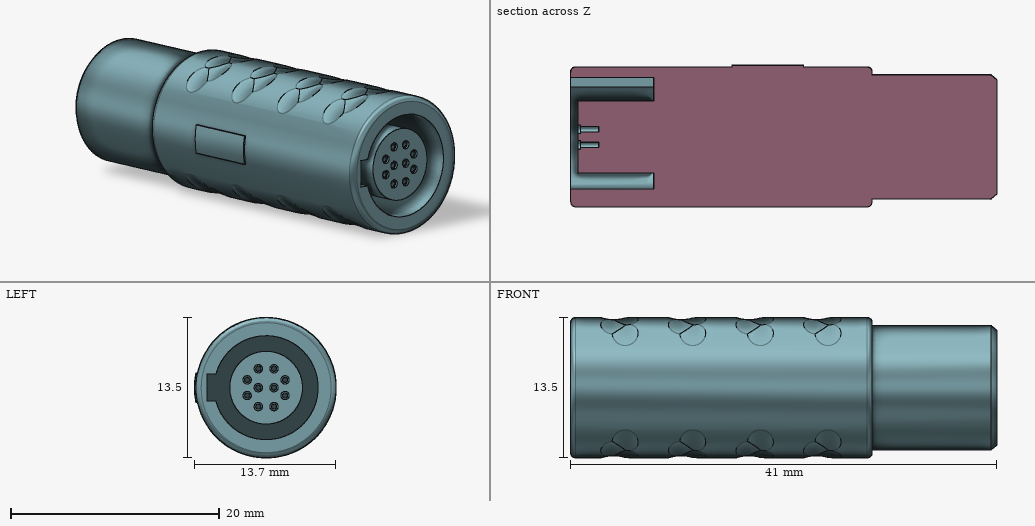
import cadquery as cq
import math


total_length = 41.0
grip_length = 29.0
grip_radius = 6.75
grip_edge_fillet = 0.5
rear_radius = 6.0
rear_chamfer_length = 0.6
rear_chamfer_height = 0.5

socket_radius = 5.0
socket_depth = 8.0
keyway_width = 2.6
keyway_reach = 5.7

insert_radius = 3.5
insert_setback = 0.7

outer_contact_count = 8
contact_circle_radius = 1.97
inner_contact_offset = contact_circle_radius * math.sin(math.pi / outer_contact_count)
contact_mouth_diameter = 0.8
contact_mouth_depth = 0.25
contact_bore_diameter = 0.5
contact_bore_depth = 2.0

dimple_depth = 0.205
dimple_half_width = 1.25
dimple_tool_radius = (dimple_half_width**2 + dimple_depth**2) / (2 * dimple_depth)
dimple_tool_length = 5.0
dimple_pitch_angle = 26.0
dimple_row_count = 4
dimple_row_pitch = 6.5
front_column_x = 4.15
column_spacing = 1.1
front_column_steps = (-1, 0, 1)
rear_column_steps = (-1.5, -0.5, 0.5, 1.5)

pad_start_x = 15.5
pad_length = 6.9
pad_width = 2.8
pad_height = 0.15


def rod(radius, start_x, length):
    """Solid cylinder on the X axis."""
    return cq.Workplane("YZ", origin=(start_x, 0, 0)).circle(radius).extrude(length)


def make_shell():
    """Grip with rounded ends and a chamfered, narrower rear sleeve."""
    grip = rod(grip_radius, 0, grip_length).edges().fillet(grip_edge_fillet)
    sleeve_start = grip_length / 2
    rear_profile = [
        (sleeve_start, 0),
        (sleeve_start, rear_radius),
        (total_length - rear_chamfer_length, rear_radius),
        (total_length, rear_radius - rear_chamfer_height),
        (total_length, 0),
    ]
    rear = cq.Workplane("XY").polyline(rear_profile).close().revolve(360, (0, 0, 0), (1, 0, 0))
    return grip.union(rear)


def make_pad():
    """Raised pad following the round of the grip."""
    block = cq.Workplane("XY").box(
        pad_length, grip_radius + pad_height, pad_width, centered=(False, False, True)
    ).translate((pad_start_x, 0, 0))
    return rod(grip_radius + pad_height, pad_start_x, pad_length).intersect(block)


def make_socket():
    """Socket bore with a keyway on its +Y side."""
    keyway = cq.Workplane("XY").box(
        socket_depth, keyway_reach, keyway_width, centered=(False, False, True)
    )
    return rod(socket_radius, 0, socket_depth).union(keyway)


def contact_positions():
    """(Y, Z) places of the contact ring and the inner pair."""
    step = 2 * math.pi / outer_contact_count
    angles = [(index + 0.5) * step for index in range(outer_contact_count)]
    ring = [
        (contact_circle_radius * math.cos(angle), contact_circle_radius * math.sin(angle))
        for angle in angles
    ]
    return ring + [(-inner_contact_offset, 0), (inner_contact_offset, 0)]


def make_insert():
    """Insulator insert with stepped contact holes in its face."""
    body = rod(insert_radius, insert_setback, socket_depth - insert_setback)
    face = cq.Workplane("YZ", origin=(insert_setback, 0, 0)).pushPoints(contact_positions())
    mouths = face.circle(contact_mouth_diameter / 2).extrude(contact_mouth_depth)
    bores = face.circle(contact_bore_diameter / 2).extrude(contact_bore_depth)
    return body.cut(mouths).cut(bores)


def dimple_tool(x, angle):
    """Tangential cylinder over the shell, turned about X by an angle from +Z."""
    axis_height = grip_radius - dimple_depth + dimple_tool_radius
    tool = (
        cq.Workplane("XZ", origin=(x, 0, axis_height))
        .circle(dimple_tool_radius)
        .extrude(dimple_tool_length / 2, both=True)
    )
    return tool.rotate((0, 0, 0), (1, 0, 0), angle)


def make_dimple_tools():
    """Tools for the rows of staggered dimples over the top and the bottom of the grip."""
    columns = (
        (front_column_x, front_column_steps),
        (front_column_x + column_spacing, rear_column_steps),
    )
    tools = []
    for row in range(dimple_row_count):
        for column_x, steps in columns:
            x = column_x + row * dimple_row_pitch
            for step in steps:
                for crest_angle in (0, 180):
                    angle = crest_angle + step * dimple_pitch_angle
                    tools.append(dimple_tool(x, angle).val())
    return tools


shell = cq.Workplane(make_shell().val().cut(*make_dimple_tools())).union(make_pad())
result = shell.cut(make_socket()).union(make_insert())